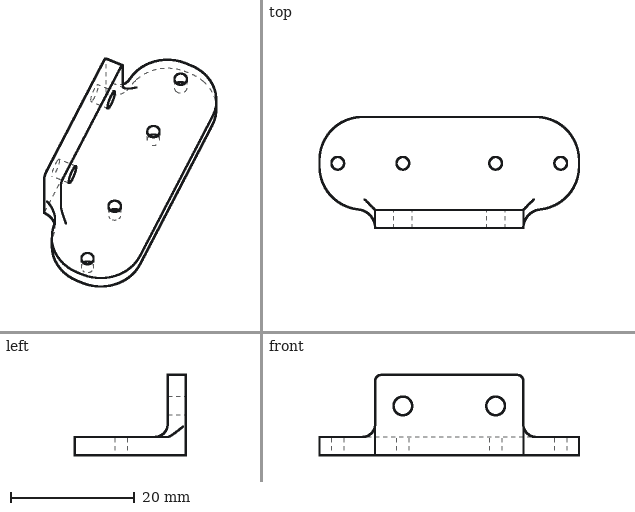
import cadquery as cq
import math

length = 42.0
depth = 18.0
height = 13.0
thickness = 3.0

plate_corner_radius = 7.0
plate_hole_diameter = 2.0
end_hole_inset = 3.0
hole_spacing = 15.0
plate_hole_y = 10.5

wall_length = 24.0
wall_corner_radius = 1.0
wall_hole_diameter = 3.0
wall_hole_z = 8.0

flare_radius = 3.0
foot_radius = 2.0

half_wall = wall_length / 2
plate_center_y = (depth + thickness) / 2
foot_top = thickness + foot_radius
arc_reach = foot_radius * (1 - math.sqrt(0.5))


def make_plate():
    return (
        cq.Workplane("XY")
        .center(0, plate_center_y)
        .rect(length, depth - thickness)
        .extrude(thickness)
        .edges("|Z")
        .fillet(plate_corner_radius)
    )


def make_flare():
    """Full-height footprint joining the wall ends tangentially to the plate corners."""
    corner_x = length / 2 - plate_corner_radius
    corner_y = thickness + plate_corner_radius
    flare_x = half_wall + flare_radius
    center_distance = plate_corner_radius + flare_radius
    drop = math.sqrt(center_distance**2 - (flare_x - corner_x) ** 2)
    flare_y = corner_y - drop

    share = flare_radius / center_distance
    touch_x = flare_x + share * (corner_x - flare_x)
    touch_y = flare_y + share * drop
    mid_x = flare_x - flare_radius * math.sqrt(0.5)
    mid_y = flare_y + flare_radius * math.sqrt(0.5)

    return (
        cq.Workplane("XY")
        .moveTo(-half_wall, 0)
        .lineTo(half_wall, 0)
        .lineTo(half_wall, flare_y)
        .threePointArc((mid_x, mid_y), (touch_x, touch_y))
        .lineTo(corner_x, corner_y)
        .lineTo(-corner_x, corner_y)
        .lineTo(-touch_x, touch_y)
        .threePointArc((-mid_x, mid_y), (-half_wall, flare_y))
        .close()
        .extrude(height)
    )


def make_end_profile():
    """Wall with flared feet at both ends, extruded through the depth."""
    base_half = length / 2
    foot_x = half_wall + foot_radius
    arc_x = half_wall + arc_reach
    arc_z = thickness + arc_reach
    return (
        cq.Workplane("XZ")
        .moveTo(-base_half, 0)
        .lineTo(base_half, 0)
        .lineTo(base_half, thickness)
        .lineTo(foot_x, thickness)
        .threePointArc((arc_x, arc_z), (half_wall, foot_top))
        .lineTo(half_wall, height)
        .lineTo(-half_wall, height)
        .lineTo(-half_wall, foot_top)
        .threePointArc((-arc_x, arc_z), (-foot_x, thickness))
        .lineTo(-base_half, thickness)
        .close()
        .extrude(-depth)
        .edges("|Y and >Z")
        .fillet(wall_corner_radius)
    )


def make_side_profile():
    """Wall with a flared foot at the back, extruded along the length."""
    return (
        cq.Workplane("YZ")
        .lineTo(depth / 2, 0)
        .lineTo(depth / 2, thickness)
        .lineTo(thickness + foot_radius, thickness)
        .threePointArc((thickness + arc_reach, thickness + arc_reach), (thickness, foot_top))
        .lineTo(thickness, height)
        .lineTo(0, height)
        .close()
        .extrude(length / 2, both=True)
    )


wall = make_flare().intersect(make_end_profile()).intersect(make_side_profile())

end_hole_x = length / 2 - end_hole_inset
inner_hole_x = hole_spacing / 2
plate_holes = (
    cq.Workplane("XY")
    .pushPoints([(x, plate_hole_y) for x in (-end_hole_x, -inner_hole_x, inner_hole_x, end_hole_x)])
    .circle(plate_hole_diameter / 2)
    .extrude(thickness)
)
wall_holes = (
    cq.Workplane("XZ")
    .pushPoints([(-inner_hole_x, wall_hole_z), (inner_hole_x, wall_hole_z)])
    .circle(wall_hole_diameter / 2)
    .extrude(-thickness)
)

result = make_plate().union(wall).cut(plate_holes).cut(wall_holes)